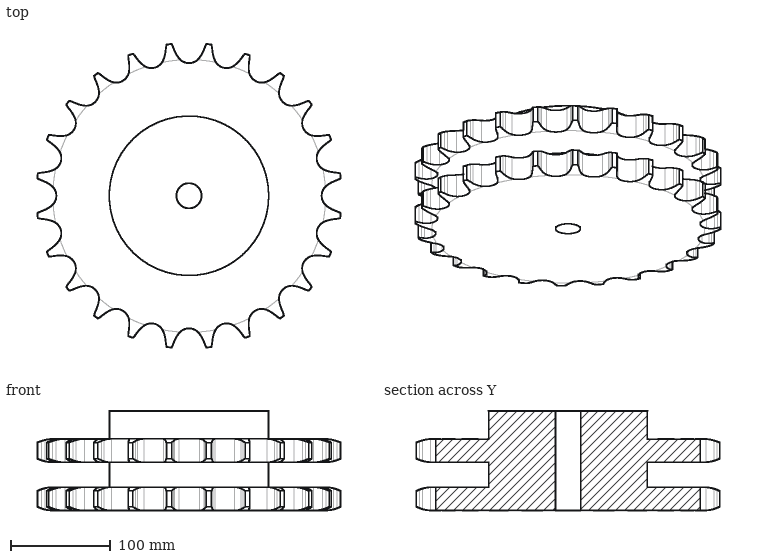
import cadquery as cq
import math


TOOTH_COUNT = 24
CHAIN_PITCH = 38.1
ROLLER_DIAMETER = 25.4
ROLLER_CLEARANCE = 0.038
TIP_DIAMETER = 306.8

DISC_WIDTH = 23.6
DISC_SPACING = 48.36
DISC_COUNT = 2
HUB_DIAMETER = 160.0
HUB_HEIGHT = 100.0
BORE_DIAMETER = 25.0

SIDE_RADIUS = CHAIN_PITCH
SIDE_RELIEF = 0.1 * CHAIN_PITCH

SEAT_FACTOR = 0.5025
WORKING_FACTOR = 1.3025
WORKING_CENTER_FACTOR = 0.8
CONVEX_CENTER_FACTOR = 1.4

TOOTH_ANGLE = 360 / TOOTH_COUNT
SEAT_ANGLE = 90 - (35 + 60 / TOOTH_COUNT)
WORKING_ANGLE = 18 - 56 / TOOTH_COUNT
CONVEX_ANGLE = 17 - 64 / TOOTH_COUNT
TIP_RADIUS = TIP_DIAMETER / 2
PITCH_RADIUS = CHAIN_PITCH / (2 * math.sin(math.pi / TOOTH_COUNT))
SEAT_RADIUS = SEAT_FACTOR * ROLLER_DIAMETER + ROLLER_CLEARANCE
WORKING_RADIUS = WORKING_FACTOR * ROLLER_DIAMETER + ROLLER_CLEARANCE
FLANK_LENGTH = ROLLER_DIAMETER * (
    CONVEX_CENTER_FACTOR * math.sin(math.radians(CONVEX_ANGLE))
    - WORKING_CENTER_FACTOR * math.sin(math.radians(WORKING_ANGLE))
)
CONVEX_RADIUS = ROLLER_DIAMETER * (
    WORKING_CENTER_FACTOR * math.cos(math.radians(WORKING_ANGLE))
    + CONVEX_CENTER_FACTOR * math.cos(math.radians(CONVEX_ANGLE))
    - WORKING_FACTOR
) - ROLLER_CLEARANCE

CUTTER_OVERRUN = 10.0


def offset(point, distance, angle):
    """Point at a distance from another, in a direction given in degrees."""
    direction = math.radians(angle)
    return (
        point[0] + distance * math.cos(direction),
        point[1] + distance * math.sin(direction),
    )


def mirrored(point):
    """Point reflected in the centre line of the gap, the X axis."""
    return (point[0], -point[1])


def tip_arc_end(center):
    """Point where the convex arc about the given center meets the tip circle."""
    center_distance = math.hypot(*center)
    cosine = (TIP_RADIUS**2 + center_distance**2 - CONVEX_RADIUS**2) / (2 * TIP_RADIUS * center_distance)
    center_angle = math.degrees(math.atan2(center[1], center[0]))
    return offset((0, 0), TIP_RADIUS, center_angle - math.degrees(math.acos(cosine)))


def tooth_gap():
    """Cutter for the gap between two teeth, centred on the +X direction."""
    seat_end_direction = 180 - SEAT_ANGLE
    flank_normal = seat_end_direction - WORKING_ANGLE

    seat_center = (PITCH_RADIUS, 0)
    seat_bottom = offset(seat_center, -SEAT_RADIUS, 0)
    seat_end = offset(seat_center, SEAT_RADIUS, seat_end_direction)

    working_center = offset(seat_end, -WORKING_RADIUS, seat_end_direction)
    working_middle = offset(working_center, WORKING_RADIUS, seat_end_direction - WORKING_ANGLE / 2)
    working_end = offset(working_center, WORKING_RADIUS, flank_normal)

    flank_end = offset(working_end, FLANK_LENGTH, flank_normal - 90)

    convex_center = offset(flank_end, CONVEX_RADIUS, flank_normal)
    convex_end = tip_arc_end(convex_center)
    chord_middle = ((flank_end[0] + convex_end[0]) / 2, (flank_end[1] + convex_end[1]) / 2)
    chord_direction = math.degrees(
        math.atan2(chord_middle[1] - convex_center[1], chord_middle[0] - convex_center[0])
    )
    convex_middle = offset(convex_center, CONVEX_RADIUS, chord_direction)

    outer_corner = (TIP_RADIUS + CUTTER_OVERRUN, convex_end[1])

    return (
        cq.Workplane("XY")
        .moveTo(*mirrored(seat_end))
        .threePointArc(seat_bottom, seat_end)
        .threePointArc(working_middle, working_end)
        .lineTo(*flank_end)
        .threePointArc(convex_middle, convex_end)
        .lineTo(*outer_corner)
        .lineTo(*mirrored(outer_corner))
        .lineTo(*mirrored(convex_end))
        .threePointArc(mirrored(convex_middle), mirrored(flank_end))
        .lineTo(*mirrored(working_end))
        .threePointArc(mirrored(working_middle), mirrored(seat_end))
        .close()
        .extrude(DISC_WIDTH)
    )


def disc_blank():
    """Round disc standing on Z = 0, its rim curved in on both sides."""
    relief_length = math.sqrt(SIDE_RADIUS**2 - (SIDE_RADIUS - SIDE_RELIEF) ** 2)
    relief_start = TIP_RADIUS - relief_length
    half_angle = math.asin(relief_length / SIDE_RADIUS) / 2
    middle_radius = relief_start + SIDE_RADIUS * math.sin(half_angle)
    middle_relief = SIDE_RADIUS * (1 - math.cos(half_angle))
    return (
        cq.Workplane("XZ")
        .lineTo(relief_start, 0)
        .threePointArc((middle_radius, middle_relief), (TIP_RADIUS, SIDE_RELIEF))
        .lineTo(TIP_RADIUS, DISC_WIDTH - SIDE_RELIEF)
        .threePointArc((middle_radius, DISC_WIDTH - middle_relief), (relief_start, DISC_WIDTH))
        .lineTo(0, DISC_WIDTH)
        .close()
        .revolve(360, (0, 0, 0), (0, 1, 0))
    )


def toothed_disc():
    """Disc with all the tooth gaps cut, one of them on the +X axis."""
    disc = disc_blank()
    gap = tooth_gap()
    for index in range(TOOTH_COUNT):
        disc = disc.cut(gap.rotate((0, 0, 0), (0, 0, 1), index * TOOTH_ANGLE))
    return disc


def hub():
    return cq.Workplane("XY").circle(HUB_DIAMETER / 2).extrude(HUB_HEIGHT)


def bore():
    return cq.Workplane("XY").circle(BORE_DIAMETER / 2).extrude(HUB_HEIGHT)


sprocket = hub()
disc = toothed_disc()
for level in range(DISC_COUNT):
    sprocket = sprocket.union(disc.translate((0, 0, level * DISC_SPACING)))

result = sprocket.cut(bore())